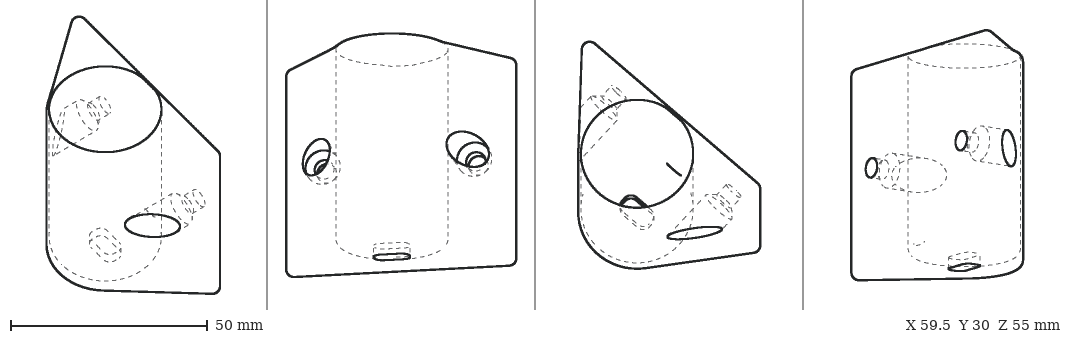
import cadquery as cq
import math

width = 59.45
height = 55.0
front_radius = 15.0
back_y = 15.0
edge_radius = 2.0

bore_radius = 14.3
bore_flat_y = 14.05
floor_thickness = 3.0
bore_floor_radius = 2.0
notch_back_y = 3.0

slot_length = 9.15
slot_width = 5.1
slot_corner_radius = 2.0

hole_spacing = 39.15
hole_diameter = 5.0
head_diameter = 9.0
head_seat_y = 9.35
sink_depth = (head_diameter - hole_diameter) / 2


def make_body():
    """Triangular prism with rounded vertical corners and a round front."""
    corner_x = width / 2 - edge_radius
    corner_y = back_y - edge_radius
    center_distance = math.hypot(corner_x, corner_y)
    normal_angle = math.atan2(corner_y, corner_x) - math.acos(
        (front_radius - edge_radius) / center_distance
    )
    normal_x = math.cos(normal_angle)
    normal_y = math.sin(normal_angle)
    front_tangent = (front_radius * normal_x, front_radius * normal_y)
    corner_tangent = (corner_x + edge_radius * normal_x, corner_y + edge_radius * normal_y)
    middle_angle = (normal_angle + math.pi / 2) / 2
    corner_middle = (
        corner_x + edge_radius * math.cos(middle_angle),
        corner_y + edge_radius * math.sin(middle_angle),
    )

    def mirrored(point):
        return (-point[0], point[1])

    return (
        cq.Workplane("XY")
        .moveTo(corner_x, back_y)
        .threePointArc(corner_middle, corner_tangent)
        .lineTo(*front_tangent)
        .threePointArc((0, -front_radius), mirrored(front_tangent))
        .lineTo(*mirrored(corner_tangent))
        .threePointArc(mirrored(corner_middle), (-corner_x, back_y))
        .close()
        .extrude(height)
    )


def make_bore():
    """Pocket cutter with a rounded floor edge and a narrow flat at the back."""
    bore = (
        cq.Workplane("XY", origin=(0, 0, floor_thickness))
        .circle(bore_radius)
        .extrude(height)
        .faces("<Z")
        .edges()
        .fillet(bore_floor_radius)
    )
    flat_limit = (
        cq.Workplane("XY")
        .center(0, bore_flat_y - width / 2)
        .rect(width, width)
        .extrude(2 * height)
    )
    return bore.rotate((0, 0, 0), (0, 0, 1), 90).intersect(flat_limit)


def make_slot():
    return (
        cq.Workplane("XY")
        .rect(slot_length, slot_width)
        .extrude(height / 2)
        .edges("|Z")
        .fillet(slot_corner_radius)
    )


def make_mounting_hole(x):
    """Revolved cutter along Y: straight hole, conical seat, head clearance."""
    hole_radius = hole_diameter / 2
    head_radius = head_diameter / 2
    return (
        cq.Workplane("XY")
        .moveTo(0, back_y)
        .lineTo(hole_radius, back_y)
        .lineTo(hole_radius, head_seat_y + sink_depth)
        .lineTo(head_radius, head_seat_y)
        .lineTo(head_radius, -front_radius)
        .lineTo(0, -front_radius)
        .close()
        .revolve(360, (0, 0, 0), (0, 1, 0))
        .translate((x, 0, height / 2))
    )


def make_front_notch():
    """Front part of the pocket's upper half, which sets the rim that the top round meets."""
    front_block = (
        cq.Workplane("XY")
        .center(0, notch_back_y - width / 2)
        .rect(width, width)
        .extrude(2 * height)
    )
    upper_pocket = cq.Workplane("XY", origin=(0, 0, height / 2)).circle(bore_radius).extrude(height)
    return upper_pocket.intersect(front_block)


def round_outer_edges(body):
    """Round the top and bottom outlines; in front the top round ends on the pocket rim."""
    outlines = [body.faces(end).val().outerWire() for end in ("<Z", ">Z")]
    return body.newObject(outlines).edges().fillet(edge_radius)


result = round_outer_edges(make_body().cut(make_front_notch()))
result = result.cut(make_bore()).cut(make_slot())
for side in (-1, 1):
    result = result.cut(make_mounting_hole(side * hole_spacing / 2))